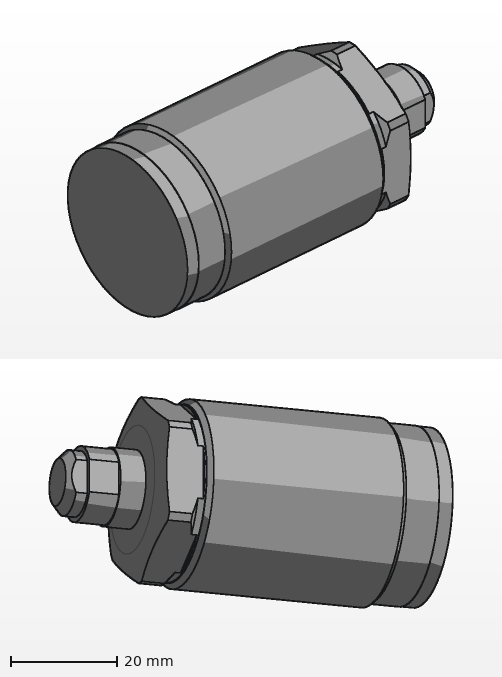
import cadquery as cq

cap_end = 2.8
collar_end = 9.35
body_end = 49.3
hex_start = 49.65
relief_cone_start = 50.7
relief_cone_end = 51.8
hex_end = 58.0
base_step_end = 63.1
middle_step_end = 69.0
tip_end = 73.0

body_diameter = 36.0
body_radius = body_diameter / 2
cap_radius = 17.1
collar_radius = 17.15
collar_chamfer = 0.9
shoulder_chamfer = 1.0

hex_across_flats = 32.0
hex_corner_radius = body_radius
relief_radius = 16.8
hex_face_radius = 12.2
hex_chamfer_length = 1.6
neck_radius = relief_radius

base_step_radius = 7.5
middle_step_radius = 7.2
middle_across_flats = 13.0
tip_radius = 6.3
tip_across_flats = 10.8
tip_chamfer = 1.75


def cylinder(radius, start, end):
    """Cylinder along +Y between two stations."""
    return cq.Workplane("XZ", origin=(0, start, 0)).circle(radius).extrude(start - end)


def flatted(solid, across_flats):
    """Trim a turned solid to two flats facing -X and +X."""
    return solid.intersect(cq.Workplane("XY").box(across_flats, 3 * tip_end, 3 * tip_end))


def make_body():
    cap = cylinder(cap_radius, 0, cap_end)
    collar = cylinder(collar_radius, cap_end, collar_end)
    barrel = cylinder(body_radius, collar_end, body_end)
    barrel = barrel.faces("<Y").chamfer(collar_chamfer).faces(">Y").chamfer(shoulder_chamfer)
    return cap.union(collar).union(barrel)


def make_hexagon():
    """Hexagon with corners on the Z axis, trimmed by a turned envelope."""
    prism = cq.Workplane("XZ", origin=(0, hex_start, 0))
    prism = prism.polygon(6, hex_across_flats, circumscribed=True).extrude(hex_start - hex_end)
    envelope = (
        cq.Workplane("XY")
        .moveTo(0, hex_start)
        .lineTo(relief_radius, hex_start)
        .lineTo(relief_radius, relief_cone_start)
        .lineTo(hex_corner_radius, relief_cone_end)
        .lineTo(hex_corner_radius, hex_end - hex_chamfer_length)
        .lineTo(hex_face_radius, hex_end)
        .lineTo(0, hex_end)
        .close()
        .revolve(360, (0, 0, 0), (0, 1, 0))
    )
    return prism.intersect(envelope)


def make_connector():
    base = cylinder(base_step_radius, hex_end, base_step_end)
    middle = flatted(cylinder(middle_step_radius, base_step_end, middle_step_end), middle_across_flats)
    tip = cylinder(tip_radius, middle_step_end, tip_end).faces(">Y").chamfer(tip_chamfer)
    return base.union(middle).union(flatted(tip, tip_across_flats))


neck = cylinder(neck_radius, body_end, hex_start)
result = make_body().union(neck).union(make_hexagon()).union(make_connector())